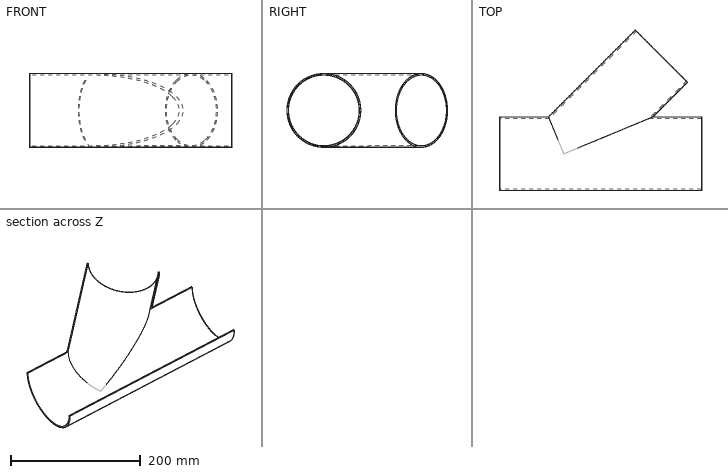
import cadquery as cq
import math

run_length = 312.0
outer_diameter = 114.2
bore_diameter = 109.2
branch_angle = math.radians(45.0)
joint_x = 99.0
branch_length = run_length - joint_x

run_start = cq.Plane(origin=(0, 0, 0), xDir=(0, 1, 0), normal=(1, 0, 0))
branch_start = cq.Plane(
    origin=(joint_x, 0, 0),
    xDir=(0, 0, 1),
    normal=(math.cos(branch_angle), math.sin(branch_angle), 0),
)


def lateral(diameter):
    """Solid run and branch of one diameter; the branch starts at the axis crossing, inside the run."""
    run = cq.Workplane(run_start).circle(diameter / 2).extrude(run_length)
    branch = cq.Workplane(branch_start).circle(diameter / 2).extrude(branch_length)
    return run.union(branch)


result = lateral(outer_diameter).cut(lateral(bore_diameter))